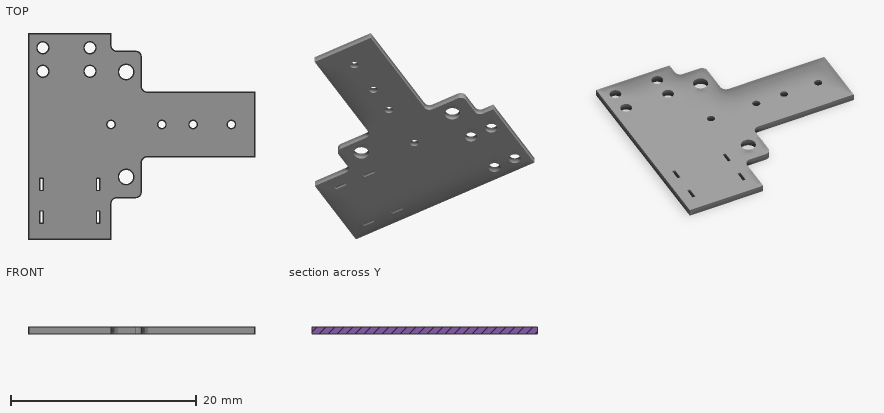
import cadquery as cq

length = 24.43
width = 22.23
thickness = 0.78

body_length = 8.9
shoulder_end = 12.17
shoulder_width = 15.83
tongue_width = 6.99
tongue_center_y = 12.4
corner_radius = 0.64

mount_diameter = 1.64
mount_x = 10.53
mount_spacing = 11.34

row_diameter = 0.88
row_x = [8.9, 14.4, 17.75, 21.9]

group_diameter = 1.27
group_first_x = 1.55
group_first_y = 18.15
group_pitch_x = 5.08
group_pitch_y = 2.55

slot_width = 0.35
slot_height = 1.3
slot_first_x = 1.4
slot_first_y = 2.4
slot_pitch_x = 6.1
slot_pitch_y = 3.55


def grid(first_x, first_y, pitch_x, pitch_y):
    """Four points on a two-by-two grid."""
    return [(first_x + i * pitch_x, first_y + j * pitch_y) for i in range(2) for j in range(2)]


def block(x_end, y_low, y_high):
    """A rectangular slab that starts at the plate's left edge."""
    return cq.Workplane("XY").box(x_end, y_high - y_low, thickness, centered=False).translate((0, y_low, 0))


def plate():
    """The stepped outline, with its inner corners and shoulder tips rounded."""
    shoulder_low = tongue_center_y - shoulder_width / 2
    shoulder_high = tongue_center_y + shoulder_width / 2
    tongue_low = tongue_center_y - tongue_width / 2
    tongue_high = tongue_center_y + tongue_width / 2
    solid = block(body_length, 0, width)
    solid = solid.union(block(shoulder_end, shoulder_low, shoulder_high))
    solid = solid.union(block(length, tongue_low, tongue_high))
    rounded_corners = [
        (body_length, shoulder_low),
        (shoulder_end, shoulder_low),
        (shoulder_end, tongue_low),
        (shoulder_end, tongue_high),
        (shoulder_end, shoulder_high),
        (body_length, shoulder_high),
    ]
    for x, y in rounded_corners:
        corner = cq.selectors.NearestToPointSelector((x, y, thickness / 2))
        solid = solid.edges("|Z").edges(corner).fillet(corner_radius)
    return solid


def through_holes(points, diameter):
    """Round cutters that span the plate's thickness."""
    return cq.Workplane("XY").pushPoints(points).circle(diameter / 2).extrude(thickness)


def through_slots(points):
    """Rectangular cutters that span the plate's thickness."""
    return cq.Workplane("XY").pushPoints(points).rect(slot_width, slot_height).extrude(thickness)


mount_points = [(mount_x, tongue_center_y + side * mount_spacing / 2) for side in (-1, 1)]
row_points = [(x, tongue_center_y) for x in row_x]
group_points = grid(group_first_x, group_first_y, group_pitch_x, group_pitch_y)
slot_points = grid(slot_first_x, slot_first_y, slot_pitch_x, slot_pitch_y)

result = (
    plate()
    .cut(through_holes(mount_points, mount_diameter))
    .cut(through_holes(row_points, row_diameter))
    .cut(through_holes(group_points, group_diameter))
    .cut(through_slots(slot_points))
)